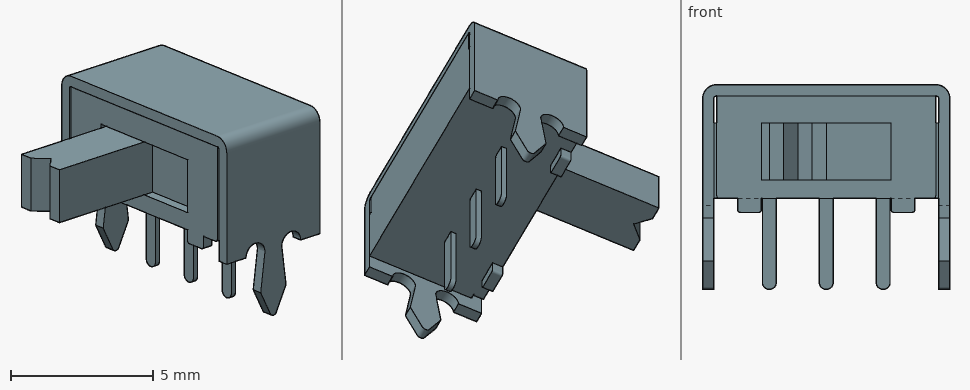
import cadquery as cq
import math


cover_width = 8.7
cover_depth = 4.4
sheet = 0.4
bend_radius = 0.5
cover_top = 4.0
wall_bottom = -0.7

tab_bottom = -3.2
tab_neck_half = 0.4
tab_wide_half = 0.6
tab_wide_z = -2.19
tab_tip_radius = 0.16
relief_radius = 0.44

front_width = 7.7
front_thickness = 0.4
ledge_height = 0.65
window_width = 4.56
corner_radius = 0.1

foot_width = 0.835
foot_height = 0.5

knob_width = 2.0
knob_height = 2.0
knob_reach = 4.0
knob_x = -1.0
notch_depth = 0.5

pin_pitch = 2.0
pin_width = 0.5
pin_thickness = 0.2

front_y = -cover_depth / 2
back_y = cover_depth / 2
recess_y = front_y + front_thickness
inner_width = cover_width - 2 * sheet
housing_top = cover_top - sheet
knob_top = ledge_height + knob_height


def box(width, y_start, y_end, z_start, z_end, x_center=0.0):
    """Rectangular block given by its width and its limits in Y and Z."""
    block = cq.Workplane("XY").box(width, y_end - y_start, z_end - z_start, centered=(True, False, False))
    return block.translate((x_center, y_start, z_start))


def wall_outline():
    """Side outline of the cover: a rectangular wall, two round reliefs and a pointed tab."""
    relief_outer = tab_neck_half + 2 * relief_radius
    relief_middle = tab_neck_half + relief_radius
    relief_top = wall_bottom + relief_radius

    tip_center_z = tab_bottom + tab_tip_radius
    drop = tab_wide_z - tip_center_z
    edge_angle = math.atan2(tab_wide_half, drop) - math.asin(tab_tip_radius / math.hypot(tab_wide_half, drop))
    tip_half = tab_tip_radius * math.cos(edge_angle)
    tip_z = tip_center_z - tab_tip_radius * math.sin(edge_angle)

    return (
        cq.Workplane("YZ")
        .moveTo(front_y, cover_top)
        .lineTo(front_y, wall_bottom)
        .lineTo(-relief_outer, wall_bottom)
        .threePointArc((-relief_middle, relief_top), (-tab_neck_half, wall_bottom))
        .lineTo(-tab_wide_half, tab_wide_z)
        .lineTo(-tip_half, tip_z)
        .threePointArc((0, tab_bottom), (tip_half, tip_z))
        .lineTo(tab_wide_half, tab_wide_z)
        .lineTo(tab_neck_half, wall_bottom)
        .threePointArc((relief_middle, relief_top), (relief_outer, wall_bottom))
        .lineTo(back_y, wall_bottom)
        .lineTo(back_y, cover_top)
        .close()
    )


def make_cover():
    """Sheet folded into a channel that is open at the front, the back and the bottom."""
    body = wall_outline().extrude(cover_width / 2, both=True)
    body = body.edges("|Y and >Z").fillet(bend_radius)
    cavity = box(inner_width, front_y, back_y, tab_bottom, housing_top)
    cavity = cavity.edges("|Y and >Z").fillet(bend_radius - sheet)
    return body.cut(cavity)


def make_housing():
    """Block with a windowed front plate, a wider lower core and two feet."""
    front_plate = box(front_width, front_y, recess_y, 0, housing_top)
    front_plate = front_plate.edges("|Y and <Z").fillet(corner_radius)
    window = box(window_width, front_y, recess_y, ledge_height, knob_top)
    lower_core = box(inner_width, recess_y, back_y, 0, knob_top)
    upper_core = box(front_width, recess_y, back_y, knob_top, housing_top)
    body = front_plate.cut(window).union(lower_core).union(upper_core)

    foot_x = (window_width + foot_width) / 2
    for side in (-1, 1):
        foot = box(foot_width, front_y, recess_y, -foot_height, 0, side * foot_x)
        body = body.union(foot.edges("|Y and <Z").fillet(corner_radius))
    return body


def make_knob():
    """Square bar standing on the back of the window, with a V notch across its outer end."""
    tip_y = front_y - knob_reach
    bar = box(knob_width, tip_y, recess_y, ledge_height, knob_top, knob_x)
    notch = (
        cq.Workplane("XY", origin=(knob_x, tip_y, ledge_height))
        .polyline([(-notch_depth, 0), (0, notch_depth), (notch_depth, 0)])
        .close()
        .extrude(knob_height)
    )
    return bar.cut(notch)


def make_pin(x_center):
    """Flat pin below the housing, with a fully rounded lower end."""
    half = pin_width / 2
    shoulder_z = tab_bottom + half
    return (
        cq.Workplane("XZ", origin=(x_center, 0, 0))
        .moveTo(-half, 0)
        .lineTo(-half, shoulder_z)
        .threePointArc((0, tab_bottom), (half, shoulder_z))
        .lineTo(half, 0)
        .close()
        .extrude(pin_thickness / 2, both=True)
    )


cover = make_cover()
housing = make_housing()
knob = make_knob()
pins = [make_pin(index * pin_pitch) for index in (-1, 0, 1)]

result = cq.Compound.makeCompound([cover.val(), housing.val(), knob.val(), *[pin.val() for pin in pins]])